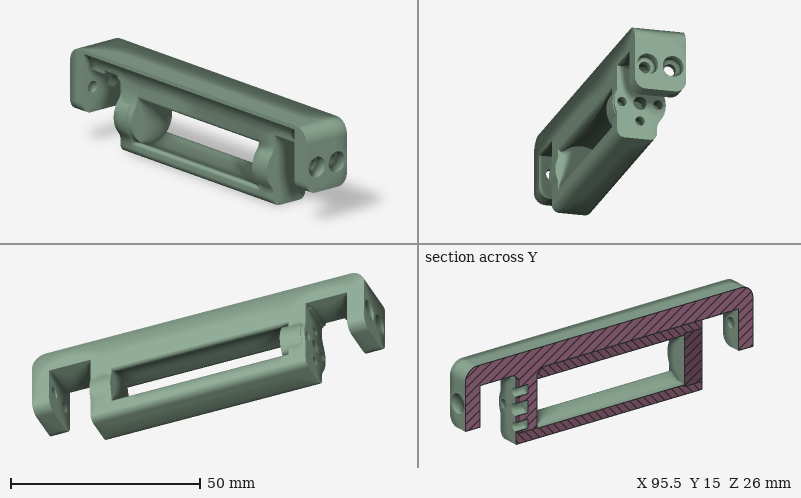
import cadquery as cq
import math

length = 95.5
bracket_top = 26.0
bracket_depth = 14.0
corner_radius = 4.0
leg_thickness = 5.0
leg_height = 18.0
leg_corner_radius = 3.1
bar_setback = 0.3
cove_radius = 5.7

screw_drop = 11.0
screw_spacing = 7.0
screw_hole_diameter = 3.2
screw_head_diameter = 5.7
screw_head_depth = 3.0

relief_start = -37.9
relief_length = 5.9
relief_size = 1.0

frame_height = 20.0
frame_depth = 11.0
frame_half_length = 30.9
frame_corner_radius = 2.0
cap_length = 5.0
bore_radius = 7.1
bore_lip_radius = 1.0
axis_y = -6.3
axis_z = frame_height / 2

bulge_radius = 7.1
bulge_blend_radius = 3.3

wall_thickness = 1.05
centre_hole_diameter = 3.6
ring_hole_diameter = 2.6
ring_hole_radius = 5.0
ring_hole_count = 4
arm_hole_depth = 2.9

plug_length = 6.0
plug_half_height = 7.5

arm_width = 6.0
arm_radius = 7.1
arm_axis_y = -6.1
arm_blend_radius = 10.0
arm_neck_back = -2.0
arm_flare = 1.7

frame_front = -frame_depth
frame_left = -frame_half_length
arm_left = frame_left + wall_thickness


def yz_plane(x):
    """Work plane at the given x with local axes Y and Z, extruding along +X."""
    return cq.Workplane("YZ", origin=(x, 0, 0))


def polar(y, z, radius, angle):
    """Point on a circle about (y, z), the angle turning from +Y towards +Z."""
    return (y + radius * math.cos(angle), z + radius * math.sin(angle))


def add_bulge(outline, face_y, side, first):
    """Carry an outline past one face of a bulged block, bulging towards side (-1 front, 1 back).

    The outline runs upwards when first is -1 and downwards when first is 1.
    """
    reach = bulge_radius + bulge_blend_radius
    blend_y = face_y + side * bulge_blend_radius
    rise = math.sqrt(reach**2 - (blend_y - axis_y)**2)
    angle = math.asin(rise / reach)

    def on_bulge(turn):
        return (axis_y + side * bulge_radius * math.cos(turn), axis_z + bulge_radius * math.sin(turn))

    def on_blend(end):
        return (
            blend_y - side * bulge_blend_radius * math.cos(angle / 2),
            axis_z + end * (rise - bulge_blend_radius * math.sin(angle / 2)),
        )

    return (
        outline.lineTo(face_y, axis_z + first * rise)
        .threePointArc(on_blend(first), on_bulge(first * angle))
        .threePointArc(on_bulge(0), on_bulge(-first * angle))
        .threePointArc(on_blend(-first), (face_y, axis_z - first * rise))
        .lineTo(face_y, axis_z - first * plug_half_height)
    )


def bulged_block(x, width):
    """Block as deep as the frame whose front and back swell into blended round bulges."""
    outline = yz_plane(x).moveTo(frame_front, axis_z + plug_half_height)
    outline = add_bulge(outline, frame_front, -1, 1)
    outline = outline.lineTo(0, axis_z - plug_half_height)
    outline = add_bulge(outline, 0, 1, -1)
    return outline.close().extrude(width)


def leg(side):
    """One end leg with two counterbored screw holes, heads on the outside."""
    outer_x = side * length / 2
    middle_x = side * (length - leg_thickness) / 2
    body = (
        cq.Workplane("XY")
        .box(leg_thickness, bracket_depth, leg_height)
        .edges("|X and <Z")
        .fillet(leg_corner_radius)
        .translate((middle_x, -bracket_depth / 2, bracket_top - leg_height / 2))
    )
    for offset in (-screw_spacing / 2, screw_spacing / 2):
        centre = cq.Vector(outer_x, -bracket_depth / 2 + offset, bracket_top - screw_drop)
        inward = cq.Vector(-side, 0, 0)
        shank = cq.Solid.makeCylinder(screw_hole_diameter / 2, leg_thickness, centre, inward)
        head = cq.Solid.makeCylinder(screw_head_diameter / 2, screw_head_depth, centre, inward)
        body = body.cut(cq.Workplane(shank)).cut(cq.Workplane(head))
    return body


def bar():
    """Top bar with a cove along the underside of its front lip."""
    bar_length = length - 2 * leg_thickness
    bar_front = bar_setback - bracket_depth
    cove_y = frame_front - cove_radius
    lip_z = frame_height + math.sqrt(cove_radius**2 - (bar_front - cove_y)**2)
    cove_sweep = math.atan2(lip_z - frame_height, bar_front - cove_y)
    cove_middle = polar(cove_y, frame_height, cove_radius, cove_sweep / 2)
    body = (
        yz_plane(-bar_length / 2)
        .moveTo(0, frame_height)
        .lineTo(frame_front, frame_height)
        .threePointArc(cove_middle, (bar_front, lip_z))
        .lineTo(bar_front, bracket_top)
        .lineTo(0, bracket_top)
        .close()
        .extrude(bar_length)
    )
    relief = (
        yz_plane(relief_start)
        .polyline([
            (frame_front - relief_size, frame_height),
            (frame_front + relief_size, frame_height),
            (frame_front - relief_size, frame_height + 2 * relief_size),
        ])
        .close()
        .extrude(relief_length)
    )
    return body.cut(relief)


def arm():
    """Round arm hanging from the bar, its neck flared where it meets the bar."""
    reach = arm_radius + arm_blend_radius
    blend_y = frame_front - arm_blend_radius
    rise = math.sqrt(reach**2 - (blend_y - arm_axis_y)**2)
    angle = math.asin(rise / reach)
    blend_z = axis_z + rise
    disc = yz_plane(arm_left).center(arm_axis_y, axis_z).circle(arm_radius).extrude(arm_width)
    neck = (
        yz_plane(arm_left)
        .moveTo(arm_axis_y, axis_z)
        .lineTo(*polar(arm_axis_y, axis_z, arm_radius, math.pi - angle))
        .threePointArc(
            polar(blend_y, blend_z, arm_blend_radius, -angle / 2),
            (frame_front, blend_z),
        )
        .lineTo(frame_front, frame_height)
        .lineTo(arm_neck_back, frame_height)
        .lineTo(arm_neck_back, axis_z)
        .close()
        .extrude(arm_width)
    )
    arm_right = arm_left + arm_width
    flare = (
        cq.Workplane("XZ", origin=(0, arm_neck_back, 0))
        .polyline([
            (arm_left, frame_height - arm_flare),
            (arm_right, frame_height - arm_flare),
            (arm_right + arm_flare, frame_height),
            (arm_left - arm_flare, frame_height),
        ])
        .close()
        .extrude(arm_neck_back - frame_front)
    )
    return disc.union(neck).union(flare)


def hole_pattern(x, depth):
    """Centre hole and a ring of holes around it, running along +X."""
    centre_hole = yz_plane(x).center(axis_y, axis_z).circle(centre_hole_diameter / 2).extrude(depth)
    ring_holes = (
        yz_plane(x)
        .center(axis_y, axis_z)
        .polarArray(ring_hole_radius, 0, 360, ring_hole_count)
        .circle(ring_hole_diameter / 2)
        .extrude(depth)
    )
    return centre_hole.union(ring_holes)


def make_bracket(arm_body):
    """Bar, legs and arm in one piece, with blind screw holes in the arm."""
    body = bar().union(leg(-1)).union(leg(1))
    body = body.edges("|Y").edges(">Z").edges("<X or >X").fillet(corner_radius)
    return body.union(arm_body).cut(hole_pattern(arm_left, arm_hole_depth))


def rails():
    """Rectangular bar with a bore that breaks out at front and back, leaving rounded lips."""
    bore_left = frame_left + cap_length
    bore_length = 2 * frame_half_length - cap_length
    body = (
        cq.Workplane("XY")
        .box(2 * frame_half_length, frame_depth, frame_height)
        .translate((0, -frame_depth / 2, axis_z))
    )
    bore = yz_plane(bore_left).center(axis_y, axis_z).circle(bore_radius).extrude(bore_length)
    lips = cq.selectors.BoxSelector(
        (bore_left, -bracket_depth, axis_z - bore_radius),
        (frame_half_length, bracket_depth, axis_z + bore_radius),
    )
    return body.cut(bore).edges("|X").edges(lips).fillet(bore_lip_radius)


def make_frame(arm_body, plug):
    """Rails and end cap in one piece, hollowed to seat the arm and the plug."""
    cap = bulged_block(frame_left, cap_length)
    body = rails().union(cap).edges("|X and <Z").fillet(frame_corner_radius)
    body = body.cut(plug).cut(arm_body)
    return body.cut(hole_pattern(frame_left, wall_thickness))


arm_body = arm()
plug = bulged_block(frame_half_length - plug_length, plug_length)
bracket = make_bracket(arm_body)
frame = make_frame(arm_body, plug)

result = cq.Compound.makeCompound([*bracket.solids().vals(), *frame.solids().vals(), plug.val()])